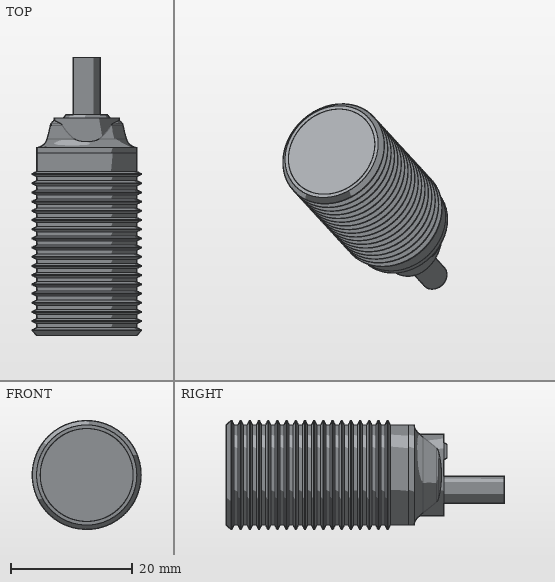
import cadquery as cq


CAP_JOINT_Y = 30.1
SHOULDER_Y = 31.05
CAP_REAR_Y = 35.9
CABLE_END_Y = 45.9

BODY_R = 8.25
THREAD_R = 9.0
CREST_WIDTH = 0.15
RIDGE_BASE_WIDTH = 0.85
PITCH = 1.5
RIDGE_COUNT = 18
FRONT_CHAMFER_LENGTH = 0.83
CORE_R = 7.65

CONE_LARGE_R = 6.55
CONE_LARGE_Y = 32.45
CONE_SMALL_R = 6.0
CONE_SMALL_Y = 34.65
EDGE_ROUND_R = 0.8
CHAMFER_LARGE_R = 5.88
CHAMFER_Y = 35.05
CHAMFER_SMALL_R = CHAMFER_LARGE_R - (CAP_REAR_Y - CHAMFER_Y)

NECK_HALF_X = 5.35
NECK_HALF_Z = 6.75

CABLE_R = 2.25
CABLE_Z = -2.45

LAMP_HALF_X = 3.85
LAMP_BOTTOM_Z = 2.5
LAMP_TOP_Z = 5.35
LAMP_HEIGHT = 0.55
LAMP_TAPER = 30.0


def revolve_about_y(profile):
    """Turn an XY profile, closed back to its start, a full circle about the Y axis."""
    return profile.close().revolve(360, (0, 0, 0), (0, 1, 0))


def plane_facing_rear(y):
    """Work plane at the given Y whose normal is +Y; its local axes are -X and Z."""
    return cq.Workplane(cq.Plane(origin=(0, y, 0), xDir=(-1, 0, 0), normal=(0, 1, 0)))


def make_sleeve():
    first_crest_y = FRONT_CHAMFER_LENGTH + CREST_WIDTH / 2
    profile = cq.Workplane("XY").moveTo(CORE_R, 0).lineTo(BODY_R, 0)
    for index in range(RIDGE_COUNT):
        crest_y = first_crest_y + index * PITCH
        if index > 0:
            profile = profile.lineTo(BODY_R, crest_y - RIDGE_BASE_WIDTH / 2)
        profile = (
            profile.lineTo(THREAD_R, crest_y - CREST_WIDTH / 2)
            .lineTo(THREAD_R, crest_y + CREST_WIDTH / 2)
            .lineTo(BODY_R, crest_y + RIDGE_BASE_WIDTH / 2)
        )
    profile = profile.lineTo(BODY_R, CAP_JOINT_Y).lineTo(CORE_R, CAP_JOINT_Y)
    return revolve_about_y(profile)


def make_core():
    return plane_facing_rear(0).circle(CORE_R).extrude(CAP_JOINT_Y)


def make_rear_cap():
    round_body = revolve_about_y(
        cq.Workplane("XY")
        .moveTo(CHAMFER_LARGE_R, CHAMFER_Y)
        .radiusArc((CONE_SMALL_R, CONE_SMALL_Y), EDGE_ROUND_R)
        .lineTo(CONE_LARGE_R, CONE_LARGE_Y)
        .tangentArcPoint((BODY_R, SHOULDER_Y), relative=False)
        .lineTo(BODY_R, CAP_JOINT_Y)
        .lineTo(0, CAP_JOINT_Y)
        .lineTo(0, CAP_REAR_Y)
        .lineTo(CHAMFER_SMALL_R, CAP_REAR_Y)
    )
    neck = (
        plane_facing_rear(CAP_JOINT_Y)
        .ellipse(NECK_HALF_X, NECK_HALF_Z)
        .extrude(CAP_REAR_Y - CAP_JOINT_Y)
    )
    return round_body.union(neck)


def make_cable():
    return (
        plane_facing_rear(CAP_REAR_Y)
        .center(0, CABLE_Z)
        .circle(CABLE_R)
        .extrude(CABLE_END_Y - CAP_REAR_Y)
    )


def make_lamp():
    return (
        plane_facing_rear(CAP_REAR_Y)
        .moveTo(-LAMP_HALF_X, LAMP_BOTTOM_Z)
        .lineTo(LAMP_HALF_X, LAMP_BOTTOM_Z)
        .threePointArc((0, LAMP_TOP_Z), (-LAMP_HALF_X, LAMP_BOTTOM_Z))
        .close()
        .extrude(LAMP_HEIGHT, taper=LAMP_TAPER)
    )


sleeve = make_sleeve()
core = make_core()
rear_cap = make_rear_cap()
cable = make_cable()
lamp = make_lamp()

result = cq.Compound.makeCompound(
    [sleeve.val(), core.val(), rear_cap.val(), cable.val(), lamp.val()]
)